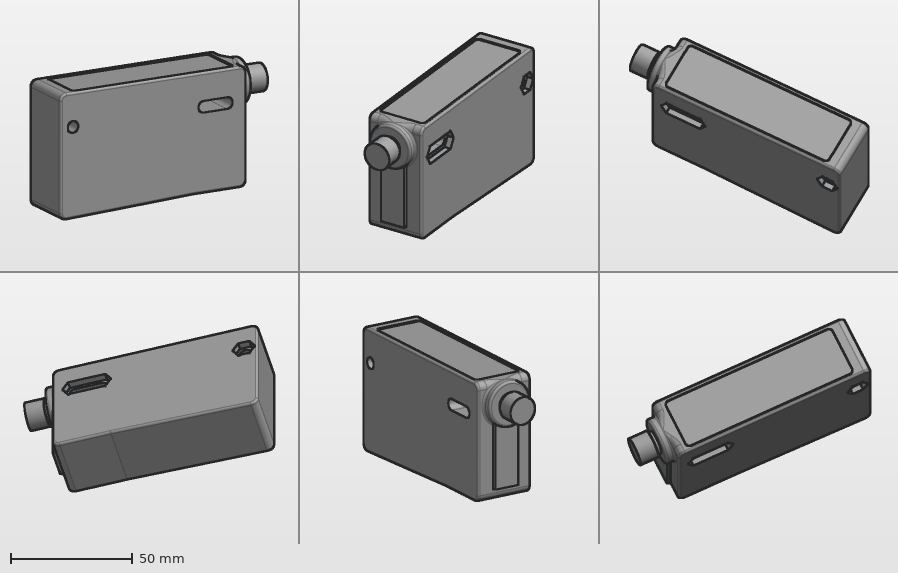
import cadquery as cq
import math

width = 25.8
height = 54.3
total_length = 102.0
body_length = 88.0
corner_radius = 3.1
side_edge_radius = 1.0

back_underside_z = 2.3
slope_start_y = 63.1
front_corner_z = -0.1

panel_width = 21.8
panel_front_y = 6.9
panel_back_y = 83.1
panel_corner_radius = 1.7
panel_depth = 0.5

mount_z = height - 14.8
hole_diameter = 5.0
nut_across_flats = 8.3
nut_depth = 3.0
round_hole_y = 6.0
slot_y = 73.3
slot_travel = 11.1

flange_radius = 10.0
flange_end_y = 92.1
flange_edge_radius = 1.0
flange_root_radius = 1.0
neck_radius = 5.1
plug_radius = 6.0
plug_length = 8.2
flange_drop = 0.02
axis_z = height - flange_radius - flange_drop

strip_width = 12.2
strip_flank_slope = 0.5
strip_end_y = 90.0
strip_bottom_z = height - 46.8


def make_block():
    """Housing block with sharp edges."""
    outline = [
        (0, front_corner_z),
        (0, height),
        (body_length, height),
        (body_length, back_underside_z),
        (slope_start_y, back_underside_z),
    ]
    return cq.Workplane("YZ").polyline(outline).close().extrude(width / 2, both=True)


def make_flange():
    """Revolved flange with a concave flare at its root, cut level with the top of the housing."""
    root_radius = flange_radius + flange_root_radius
    root_start_y = body_length - corner_radius
    arc_sag = flange_root_radius * (1 - math.sqrt(0.5))
    flange = (
        cq.Workplane("XY")
        .moveTo(0, root_start_y)
        .lineTo(root_radius, root_start_y)
        .lineTo(root_radius, body_length)
        .threePointArc(
            (flange_radius + arc_sag, body_length + arc_sag),
            (flange_radius, body_length + flange_root_radius),
        )
        .lineTo(flange_radius, flange_end_y)
        .lineTo(0, flange_end_y)
        .close()
        .revolve(360, (0, 0, 0), (0, 1, 0))
        .translate((0, 0, axis_z))
        .faces(">Y")
        .edges()
        .fillet(flange_edge_radius)
    )
    below_top = cq.Workplane("XY").box(width, 2 * total_length, height, centered=(True, True, False))
    return flange.intersect(below_top)


def edges_near(y, z):
    """Selector for edges centred close to the line at the given Y and Z."""
    reach = corner_radius / 2
    return cq.selectors.BoxSelector((-width, y - reach, z - reach), (width, y + reach, z + reach))


def round_corners(housing):
    """Round the edges across the width, then the edges around both flat sides.

    The top back edge comes first, as it runs out over the flare of the flange.
    """
    back_top = edges_near(body_length, height)
    housing = housing.edges(back_top).edges(">Z").fillet(corner_radius)
    for y, z in ((0, height), (0, front_corner_z), (body_length, back_underside_z)):
        housing = housing.edges(edges_near(y, z)).edges("|X").fillet(corner_radius)
    return housing.faces("<X or >X").edges().fillet(side_edge_radius)


def along_y(radius, start_y, end_y):
    """Cylinder on the connector axis."""
    start = cq.Workplane("XZ", origin=(0, start_y, axis_z))
    return start.circle(radius).extrude(start_y - end_y)


def make_strip():
    """Upright strip on the back with flanks that rise to a ridge and fall back again."""
    half_depth = (strip_end_y - body_length) / 2
    ridge_x = strip_width / 2
    edge_x = ridge_x - half_depth * strip_flank_slope
    ridge_y = body_length + half_depth
    outline = [
        (-edge_x, body_length),
        (-ridge_x, ridge_y),
        (-edge_x, strip_end_y),
        (edge_x, strip_end_y),
        (ridge_x, ridge_y),
        (edge_x, body_length),
    ]
    strip = cq.Workplane("XY", origin=(0, 0, strip_bottom_z)).polyline(outline).close()
    return strip.extrude(axis_z - strip_bottom_z)


def cut_mount(housing, center_y, travel):
    """Through hole, lengthened along Y by the travel, with its nut pocket on the -X side."""
    start = cq.Workplane("YZ", origin=(-width / 2, center_y, mount_z))
    nut_radius = nut_across_flats / math.sqrt(3)
    tip_y = (travel + 2 * nut_radius) / 2
    flat_y = (travel + nut_radius) / 2
    flat_z = nut_across_flats / 2
    nut_outline = [
        (-tip_y, 0),
        (-flat_y, flat_z),
        (flat_y, flat_z),
        (tip_y, 0),
        (flat_y, -flat_z),
        (-flat_y, -flat_z),
    ]
    pocket = start.polyline(nut_outline).close().extrude(nut_depth)
    if travel:
        hole = start.slot2D(travel + hole_diameter, hole_diameter).extrude(width)
    else:
        hole = start.circle(hole_diameter / 2).extrude(width)
    return housing.cut(pocket).cut(hole)


def make_panel_recess():
    """Shallow rounded rectangle sunk into the top."""
    panel_length = panel_back_y - panel_front_y
    center_y = (panel_back_y + panel_front_y) / 2
    return (
        cq.Workplane("XY", origin=(0, center_y, height - panel_depth))
        .rect(panel_width, panel_length)
        .extrude(panel_depth)
        .edges("|Z")
        .fillet(panel_corner_radius)
    )


housing = round_corners(make_block().union(make_flange()))
housing = housing.cut(make_panel_recess())
housing = cut_mount(housing, slot_y, slot_travel)
housing = cut_mount(housing, round_hole_y, 0)

neck = along_y(neck_radius, body_length, total_length - plug_length)
plug = along_y(plug_radius, total_length - plug_length, total_length)
result = housing.union(make_strip()).union(neck).union(plug)